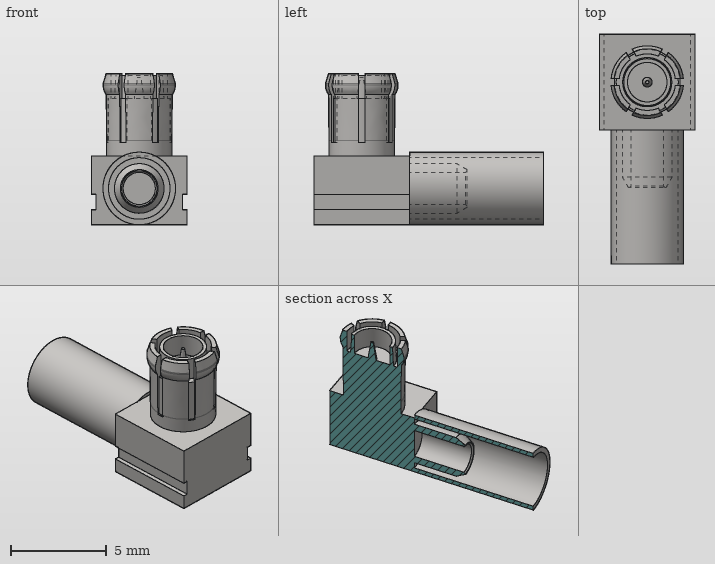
import cadquery as cq


block_width = 5.0
block_height = 3.6
groove_depth = 0.24
groove_bottom = 0.79
groove_height = 0.79

overall_length = 12.0
tube_radius = 1.9
tube_bore_radius = 1.61
tube_length = overall_length - block_width
ferrule_radius = 1.3
ferrule_tip_radius = 0.98
ferrule_length = 3.0
ferrule_taper_length = 0.54
ferrule_bore_mouth_radius = 0.92
ferrule_bore_radius = 0.84
ferrule_countersink_depth = 0.08

overall_height = 7.9
barrel_radius = 1.72
finger_bottom = 4.39
finger_tip_radius = 1.74
bead_radius = 1.9
bead_bottom = 6.79
bead_land_bottom = 7.31
bead_land_top = 7.38
bead_arc_mid_radius = 1.85
bead_arc_mid_height = 7.0
finger_inner_radius = 1.48
finger_count = 6
slot_width = 0.36
slot_bottom = 4.3
slot_overrun = 0.24
slot_outer_radius = bead_radius + slot_overrun
slot_floor_radius = 1.62

gap_floor = 6.6
sleeve_top = 7.8
sleeve_top_radius = 1.22
sleeve_root_radius = 1.28
sleeve_bore_radius = 1.03
sleeve_floor = gap_floor
pin_radius = 0.25
pin_tip_radius = 0.08
pin_top = 7.68

tube_start = -block_width / 2


def disc(radius, bottom, top):
    """Upright cylinder about the Z axis."""
    return cq.Workplane("XY", origin=(0, 0, bottom)).circle(radius).extrude(top - bottom)


def make_block():
    """Square block with a groove along each of its X sides."""
    on_base = (True, True, False)
    block = cq.Workplane("XY").box(block_width, block_width, block_height, centered=on_base)
    groove = cq.Workplane("XY").box(2 * groove_depth, block_width, groove_height, centered=on_base)
    for side in (-1, 1):
        block = block.cut(groove.translate((side * block_width / 2, 0, groove_bottom)))
    return block


def make_tube():
    return (
        cq.Workplane("XZ", origin=(0, tube_start, tube_radius))
        .circle(tube_radius)
        .circle(tube_bore_radius)
        .extrude(tube_length)
    )


def make_ferrule():
    """Closed sleeve in the tube, tapered outside at its tip and countersunk inside."""
    ferrule_end = tube_start - ferrule_length
    return (
        cq.Workplane("XY", origin=(0, 0, tube_radius))
        .moveTo(0, tube_start)
        .lineTo(ferrule_radius, tube_start)
        .lineTo(ferrule_radius, ferrule_end + ferrule_taper_length)
        .lineTo(ferrule_tip_radius, ferrule_end)
        .lineTo(ferrule_bore_mouth_radius, ferrule_end)
        .lineTo(ferrule_bore_radius, ferrule_end + ferrule_countersink_depth)
        .lineTo(ferrule_bore_radius, tube_start)
        .close()
        .revolve(360, (0, 0, 0), (0, 1, 0))
    )


def make_barrel():
    """Round barrel that flares slightly to a bead at the finger tips."""
    return (
        cq.Workplane("XZ")
        .moveTo(0, block_height)
        .lineTo(barrel_radius, block_height)
        .lineTo(barrel_radius, finger_bottom)
        .lineTo(finger_tip_radius, bead_bottom)
        .threePointArc((bead_arc_mid_radius, bead_arc_mid_height), (bead_radius, bead_land_bottom))
        .lineTo(bead_radius, bead_land_top)
        .lineTo(finger_tip_radius, overall_height)
        .lineTo(0, overall_height)
        .close()
        .revolve(360, (0, 0, 0), (0, 1, 0))
    )


def cut_finger_slots(barrel):
    """Hollow the finger ends and split the wall into equal fingers."""
    barrel = barrel.cut(disc(finger_inner_radius, gap_floor, overall_height))
    shallow_zone = disc(slot_outer_radius, slot_bottom, gap_floor)
    shallow_zone = shallow_zone.cut(disc(slot_floor_radius, slot_bottom, gap_floor))
    open_zone = disc(slot_outer_radius, gap_floor, overall_height)
    slot_zone = shallow_zone.union(open_zone)
    for index in range(finger_count):
        slot = (
            cq.Workplane("XY")
            .box(slot_outer_radius, slot_width, overall_height, centered=(False, True, False))
            .rotate((0, 0, 0), (0, 0, 1), index * 360 / finger_count)
        )
        barrel = barrel.cut(slot_zone.intersect(slot))
    return barrel


def make_sleeve():
    """Inner sleeve, narrowing slightly to its open top."""
    return (
        cq.Workplane("XZ")
        .moveTo(0, gap_floor)
        .lineTo(sleeve_root_radius, gap_floor)
        .lineTo(sleeve_top_radius, sleeve_top)
        .lineTo(0, sleeve_top)
        .close()
        .revolve(360, (0, 0, 0), (0, 1, 0))
    )


def make_pin():
    """Tapered contact pin standing on the sleeve floor."""
    return (
        cq.Workplane("XZ")
        .moveTo(0, sleeve_floor)
        .lineTo(pin_radius, sleeve_floor)
        .lineTo(pin_tip_radius, pin_top)
        .lineTo(0, pin_top)
        .close()
        .revolve(360, (0, 0, 0), (0, 1, 0))
    )


sleeve_bore = disc(sleeve_bore_radius, sleeve_floor, sleeve_top)
contact_end = cut_finger_slots(make_barrel()).union(make_sleeve()).cut(sleeve_bore).union(make_pin())
result = make_block().union(make_tube()).union(make_ferrule()).union(contact_end)